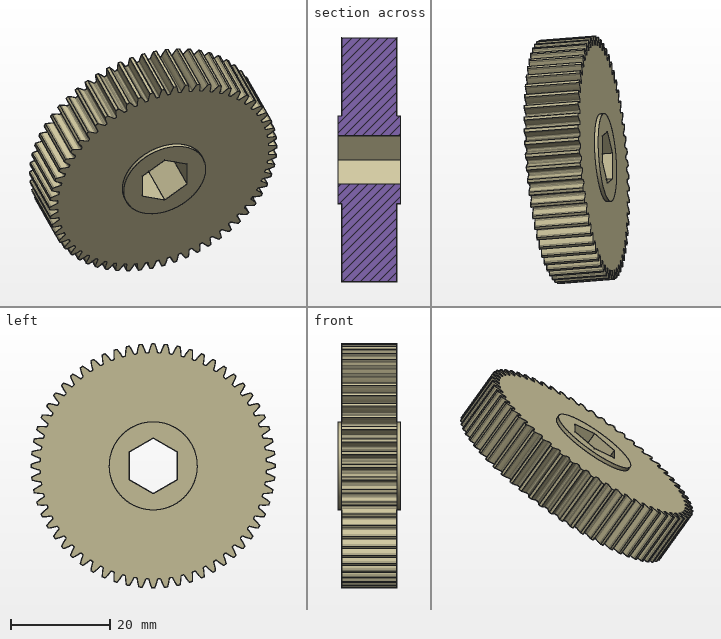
import cadquery as cq
import math

TOOTH_COUNT = 60
OUTER_DIAMETER = 49.2
PRESSURE_ANGLE = math.radians(20)
DEDENDUM_RATIO = 1.25
ROOT_FILLET = 0.2
FLANK_JOINT_RADIUS = 24.3
GEAR_WIDTH = 11.1

OVERALL_WIDTH = 12.65
HUB_DIAMETER = 17.75
HEX_ACROSS_FLATS = 9.65

MODULE = OUTER_DIAMETER / (TOOTH_COUNT + 2)
OUTER_RADIUS = OUTER_DIAMETER / 2
PITCH_RADIUS = OUTER_RADIUS - MODULE
BASE_RADIUS = PITCH_RADIUS * math.cos(PRESSURE_ANGLE)
ROOT_RADIUS = PITCH_RADIUS - DEDENDUM_RATIO * MODULE
TOOTH_PITCH_ANGLE = 2 * math.pi / TOOTH_COUNT
CLEAR_RADIUS = OUTER_RADIUS + MODULE / 2


def sketch_across_axis():
    """Sketch plane at mid-width: its x axis is Z and its normal is X."""
    return cq.Workplane(cq.Plane(origin=(0, 0, 0), xDir=(0, 0, 1), normal=(1, 0, 0)))


def involute(angle):
    return math.tan(angle) - angle


def polar_point(radius, angle):
    return (radius * math.cos(angle), radius * math.sin(angle))


def tooth_half_angle(radius):
    """Angle from a tooth's centre line to its involute flank at a radius."""
    half_angle_at_pitch = TOOTH_PITCH_ANGLE / 4
    flank_angle = math.acos(BASE_RADIUS / radius)
    return half_angle_at_pitch + involute(PRESSURE_ANGLE) - involute(flank_angle)


def gap_edge_point(radius):
    """Point on the upper edge of a tooth gap centred on the sketch's x axis."""
    return polar_point(radius, TOOTH_PITCH_ANGLE / 2 - tooth_half_angle(radius))


def mirror_across_gap(point):
    return (point[0], -point[1])


def make_tooth_gap():
    """Cutter for one tooth gap; two arcs approximate the involute on each side."""
    root = gap_edge_point(ROOT_RADIUS)
    lower_middle = gap_edge_point((ROOT_RADIUS + FLANK_JOINT_RADIUS) / 2)
    joint = gap_edge_point(FLANK_JOINT_RADIUS)
    upper_middle = gap_edge_point((FLANK_JOINT_RADIUS + CLEAR_RADIUS) / 2)
    outer = gap_edge_point(CLEAR_RADIUS)
    return (
        sketch_across_axis()
        .moveTo(*mirror_across_gap(root))
        .threePointArc((ROOT_RADIUS, 0), root)
        .threePointArc(lower_middle, joint)
        .threePointArc(upper_middle, outer)
        .lineTo(*mirror_across_gap(outer))
        .threePointArc(mirror_across_gap(upper_middle), mirror_across_gap(joint))
        .threePointArc(mirror_across_gap(lower_middle), mirror_across_gap(root))
        .close()
        .extrude(GEAR_WIDTH / 2, both=True)
        .edges("|X and <Z")
        .fillet(ROOT_FILLET)
    )


def make_toothed_wheel():
    blank = sketch_across_axis().circle(OUTER_RADIUS).extrude(GEAR_WIDTH / 2, both=True)
    gap = make_tooth_gap()
    cutters = []
    for i in range(TOOTH_COUNT):
        turn = math.degrees((i + 0.5) * TOOTH_PITCH_ANGLE)
        cutters.append(gap.rotate((0, 0, 0), (1, 0, 0), turn).val())
    return cq.Workplane(blank.val().cut(*cutters))


def make_hub():
    return sketch_across_axis().circle(HUB_DIAMETER / 2).extrude(OVERALL_WIDTH / 2, both=True)


def make_hex_bore():
    """Hexagonal prism with two corners on the Z axis."""
    across_corners = HEX_ACROSS_FLATS / math.cos(math.pi / 6)
    return sketch_across_axis().polygon(6, across_corners).extrude(OVERALL_WIDTH / 2, both=True)


result = make_toothed_wheel().union(make_hub()).cut(make_hex_bore())